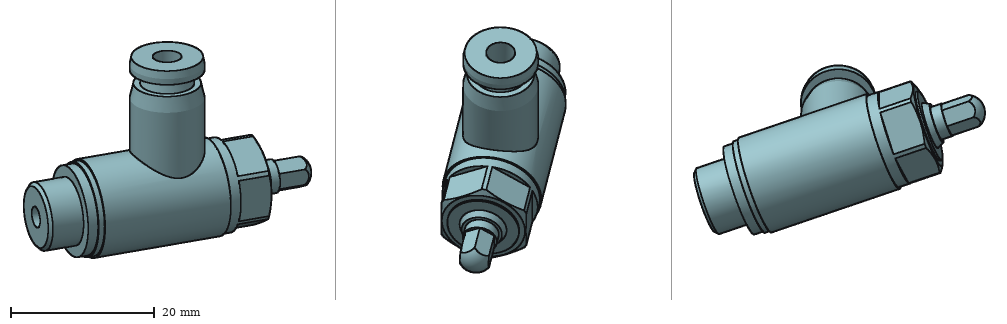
import cadquery as cq
import math

TOTAL_LENGTH = 41.45

SPIGOT_DIAMETER = 9.75
SPIGOT_CHAMFER = 0.5
SPIGOT_END = 5.15
FLANGE_DIAMETER = 13.0
FLANGE_END = 6.65
COLLAR_DIAMETER = 13.5
FRONT_COLLAR_END = 7.5
BODY_DIAMETER = 14.0
BODY_END = 26.53
REAR_COLLAR_END = 28.15

NUT_ACROSS_FLATS = 12.0
NUT_CHAMFER_START = 32.75
NUT_END = 33.15
NUT_FACE_DIAMETER = 11.77
WASHER_FACE_DIAMETER = 10.15
WASHER_FACE_END = 33.45

CONE_BASE_DIAMETER = 6.67
CONE_TOP_DIAMETER = 5.7
CONE_END = 34.4
PIN_DIAMETER = 4.8
PIN_END = 35.95
KEY_ACROSS_FLATS = 4.05
DOME_RADIUS = 2.53

BRANCH_Y = 19.85
BRANCH_TOP = 21.0
BRANCH_DIAMETER = 10.5
TAPER_START = 14.75
TAPER_TOP = 17.0
TAPER_TOP_DIAMETER = 9.45
NECK_BASE_DIAMETER = 7.6
NECK_DIAMETER = 7.0
NECK_CONE_TOP = 18.05
RELEASE_RING_BOTTOM = 19.03
RELEASE_RING_EDGE = 19.9
RELEASE_RING_TOP_DIAMETER = 10.05

BORE_DIAMETER = 3.0
TUBE_SOCKET_DIAMETER = 4.0
TUBE_SOCKET_BOTTOM = TAPER_START


def turned(sections):
    """Solid of revolution about Y from (diameter, Y) corners ordered along the axis."""
    corners = [(diameter / 2, y) for diameter, y in sections]
    outline = [(0, corners[0][1])] + corners + [(0, corners[-1][1])]
    return cq.Workplane("XY").polyline(outline).close().revolve(360, (0, 0), (0, 1))


def hexagonal_bar(across_flats, start, end):
    """Hexagonal bar along Y with two flats facing +X and -X."""
    across_corners = across_flats / math.cos(math.radians(30))
    bar = cq.Workplane("XY").polygon(6, across_corners).extrude(end - start)
    return bar.rotate((0, 0, 0), (0, 0, 1), 30).rotate((0, 0, 0), (1, 0, 0), -90).translate((0, start, 0))


def make_body():
    spigot_face_diameter = SPIGOT_DIAMETER - 2 * SPIGOT_CHAMFER
    return turned([
        (spigot_face_diameter, 0),
        (SPIGOT_DIAMETER, SPIGOT_CHAMFER),
        (SPIGOT_DIAMETER, SPIGOT_END),
        (FLANGE_DIAMETER, SPIGOT_END),
        (FLANGE_DIAMETER, FLANGE_END),
        (COLLAR_DIAMETER, FLANGE_END),
        (COLLAR_DIAMETER, FRONT_COLLAR_END),
        (BODY_DIAMETER, FRONT_COLLAR_END),
        (BODY_DIAMETER, BODY_END),
        (COLLAR_DIAMETER, BODY_END),
        (COLLAR_DIAMETER, REAR_COLLAR_END),
    ])


def make_nut():
    envelope = turned([
        (COLLAR_DIAMETER, REAR_COLLAR_END),
        (COLLAR_DIAMETER, NUT_CHAMFER_START),
        (NUT_FACE_DIAMETER, NUT_END),
    ])
    return hexagonal_bar(NUT_ACROSS_FLATS, REAR_COLLAR_END, NUT_END).intersect(envelope)


def make_needle():
    shank = turned([
        (WASHER_FACE_DIAMETER, NUT_END),
        (WASHER_FACE_DIAMETER, WASHER_FACE_END),
        (CONE_BASE_DIAMETER, WASHER_FACE_END),
        (CONE_TOP_DIAMETER, CONE_END),
        (PIN_DIAMETER, CONE_END),
        (PIN_DIAMETER, PIN_END),
    ])
    dome_center_y = TOTAL_LENGTH - DOME_RADIUS
    dome_middle = DOME_RADIUS * math.sin(math.radians(45))
    domed_bar = (
        cq.Workplane("XY")
        .moveTo(0, PIN_END)
        .lineTo(DOME_RADIUS, PIN_END)
        .lineTo(DOME_RADIUS, dome_center_y)
        .threePointArc((dome_middle, dome_center_y + dome_middle), (0, TOTAL_LENGTH))
        .close()
        .revolve(360, (0, 0), (0, 1))
    )
    key = domed_bar.intersect(hexagonal_bar(KEY_ACROSS_FLATS, PIN_END, TOTAL_LENGTH))
    return shank.union(key)


def make_branch():
    upright = turned([
        (BRANCH_DIAMETER, 0),
        (BRANCH_DIAMETER, TAPER_START),
        (TAPER_TOP_DIAMETER, TAPER_TOP),
        (NECK_BASE_DIAMETER, TAPER_TOP),
        (NECK_DIAMETER, NECK_CONE_TOP),
        (NECK_DIAMETER, RELEASE_RING_BOTTOM),
        (BRANCH_DIAMETER, RELEASE_RING_BOTTOM),
        (BRANCH_DIAMETER, RELEASE_RING_EDGE),
        (RELEASE_RING_TOP_DIAMETER, BRANCH_TOP),
    ])
    return upright.rotate((0, 0, 0), (1, 0, 0), 90).translate((0, BRANCH_Y, 0))


def make_bores():
    """Elbow passage with a spherical corner, opening into the tube socket at the top."""
    bore_radius = BORE_DIAMETER / 2
    along_body = turned([(BORE_DIAMETER, 0), (BORE_DIAMETER, BRANCH_Y)])
    corner = cq.Workplane("XY").sphere(bore_radius).translate((0, BRANCH_Y, 0))
    up_branch = cq.Workplane("XY").center(0, BRANCH_Y).circle(bore_radius).extrude(BRANCH_TOP)
    socket = (
        cq.Workplane("XY", origin=(0, BRANCH_Y, TUBE_SOCKET_BOTTOM))
        .circle(TUBE_SOCKET_DIAMETER / 2)
        .extrude(BRANCH_TOP - TUBE_SOCKET_BOTTOM)
    )
    return along_body.union(up_branch).union(corner).union(socket)


result = make_body().union(make_nut()).union(make_needle()).union(make_branch()).cut(make_bores())